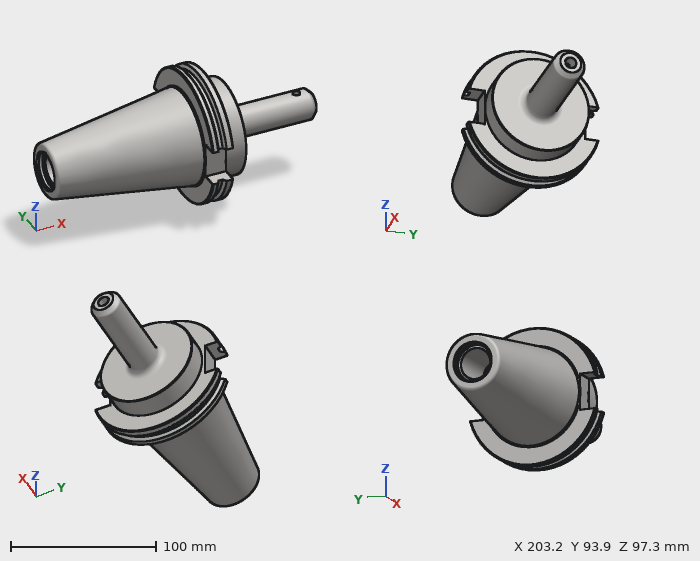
import cadquery as cq
import math

taper_length = 102.6
neck_end = 105.0
flange_width = 15.6
flange_end = neck_end + flange_width
collar_end = 136.5
total_length = 203.2

taper_ratio = 7 / 24
taper_radius = 70.0 / 2
taper_tip_radius = taper_radius - taper_length * taper_ratio / 2
tip_rounding = 2.2
neck_fillet = 0.8

flange_radius = 97.3 / 2
flange_chamfer = 0.6
groove_center = neck_end + 7.3
groove_floor_width = 3.0
groove_depth = 2.8
groove_mouth_width = 6.5

slot_height = 25.6
slot_floor_front = 35.4
slot_floor_back = 37.4

collar_radius = 70.1 / 2
collar_chamfer = 0.5
shank_radius = 22.4 / 2
root_fillet = 4.9
shank_chamfer = 3.7
shank_blend = 1.5

mouth_radius = 28.5 / 2
counterbore_radius = 26.6 / 2
mouth_chamfer_depth = 1.2
counterbore_step_depth = 3.9
lower_counterbore_radius = 26.2 / 2
counterbore_depth = 5.3
thread_radius = 22.0 / 2
thread_depth = 44.7
pilot_radius = 12.0 / 2
pilot_depth = 61.0
drill_point_half_angle = 59.0
coolant_radius = 8.0 / 2

cross_hole_radius = 5.3 / 2
cross_hole_x = 191.2


def revolve_about_x(outline):
    """Revolve a closed XY outline a full turn about the X axis."""
    return outline.close().revolve(360, (0, 0, 0), (1, 0, 0))


def drill_point_length(start_radius, end_radius):
    """Axial length of a drill cone narrowing between two radii."""
    return (start_radius - end_radius) / math.tan(math.radians(drill_point_half_angle))


def make_taper():
    taper = revolve_about_x(
        cq.Workplane("XY")
        .lineTo(0, taper_tip_radius)
        .lineTo(taper_length, taper_radius)
        .lineTo(neck_end - neck_fillet, taper_radius)
        .tangentArcPoint((neck_end, taper_radius + neck_fillet), relative=False)
        .lineTo(neck_end, 0)
    )
    return taper.faces("<X").edges().fillet(tip_rounding)


def make_flange():
    disc = (
        cq.Workplane("YZ", origin=(neck_end, 0, 0))
        .circle(flange_radius)
        .extrude(flange_width)
        .edges()
        .chamfer(flange_chamfer)
    )
    floor_radius = flange_radius - groove_depth
    groove = revolve_about_x(
        cq.Workplane("XY")
        .moveTo(groove_center - groove_mouth_width / 2, flange_radius)
        .lineTo(groove_center - groove_floor_width / 2, floor_radius)
        .lineTo(groove_center + groove_floor_width / 2, floor_radius)
        .lineTo(groove_center + groove_mouth_width / 2, flange_radius)
    )
    return disc.cut(groove)


def make_drive_slot(side, floor_distance):
    """Cutter for the slot on one side of the flange: side is -1 or +1 along Y."""
    slot_depth = flange_radius - floor_distance
    slot_center_y = side * (floor_distance + slot_depth / 2)
    slot_center_x = neck_end + flange_width / 2
    return (
        cq.Workplane("XY")
        .box(flange_width, slot_depth, slot_height)
        .translate((slot_center_x, slot_center_y, 0))
    )


def make_collar():
    return (
        cq.Workplane("YZ", origin=(flange_end, 0, 0))
        .circle(collar_radius)
        .extrude(collar_end - flange_end)
        .faces(">X")
        .edges()
        .chamfer(collar_chamfer)
    )


def make_shank():
    shank = revolve_about_x(
        cq.Workplane("XY")
        .moveTo(collar_end, 0)
        .lineTo(total_length, 0)
        .lineTo(total_length, shank_radius - shank_chamfer)
        .lineTo(total_length - shank_chamfer, shank_radius)
        .lineTo(collar_end + root_fillet, shank_radius)
        .tangentArcPoint((collar_end, shank_radius + root_fillet), relative=False)
    )
    selection_margin = 0.2
    chamfer_start = total_length - shank_chamfer
    chamfer_edge = cq.selectors.BoxSelector(
        (chamfer_start - selection_margin, -total_length, -total_length),
        (chamfer_start + selection_margin, total_length, total_length),
    )
    return shank.edges(chamfer_edge).fillet(shank_blend)


def make_axial_bore():
    thread_point_end = thread_depth + drill_point_length(thread_radius, pilot_radius)
    pilot_point_end = pilot_depth + drill_point_length(pilot_radius, coolant_radius)
    return revolve_about_x(
        cq.Workplane("XY")
        .lineTo(0, mouth_radius)
        .lineTo(mouth_chamfer_depth, counterbore_radius)
        .lineTo(counterbore_step_depth, counterbore_radius)
        .lineTo(counterbore_step_depth, lower_counterbore_radius)
        .lineTo(counterbore_depth, lower_counterbore_radius)
        .lineTo(counterbore_depth, thread_radius)
        .lineTo(thread_depth, thread_radius)
        .lineTo(thread_point_end, pilot_radius)
        .lineTo(pilot_depth, pilot_radius)
        .lineTo(pilot_point_end, coolant_radius)
        .lineTo(total_length, coolant_radius)
        .lineTo(total_length, 0)
    )


def make_cross_hole():
    return (
        cq.Workplane("XY", origin=(cross_hole_x, 0, 0))
        .circle(cross_hole_radius)
        .extrude(shank_radius)
    )


flange = (
    make_flange()
    .cut(make_drive_slot(-1, slot_floor_front))
    .cut(make_drive_slot(1, slot_floor_back))
)
result = (
    make_taper()
    .union(flange)
    .union(make_collar())
    .union(make_shank())
    .cut(make_axial_bore())
    .cut(make_cross_hole())
)